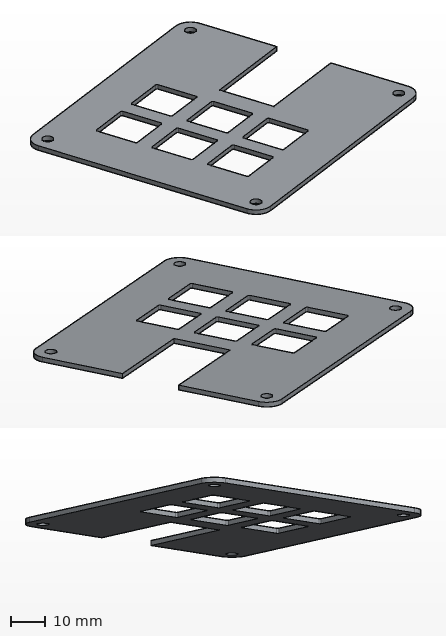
import cadquery as cq

plate_width = 81.25
plate_length = 87.5
plate_thickness = 1.5
corner_radius = 5.0

screw_hole_diameter = 3.4
screw_spacing_x = plate_width - 2 * corner_radius
screw_spacing_y = plate_length - 2 * corner_radius

notch_width = 18.5
notch_depth = 31.0

switch_size = 14.0
switch_corner_radius = 0.5
switch_pitch = 19.05
switch_columns = 3
switch_rows = 2
switch_grid_center_x = -0.5
switch_grid_center_y = -10.6


def make_plate():
    """Flat plate with rounded corners, resting on Z = 0."""
    plate = cq.Workplane("XY").rect(plate_width, plate_length).extrude(plate_thickness)
    return plate.edges("|Z").fillet(corner_radius)


def make_screw_holes():
    """Cylinders for the four corner screw holes."""
    return (
        cq.Workplane("XY")
        .rect(screw_spacing_x, screw_spacing_y, forConstruction=True)
        .vertices()
        .circle(screw_hole_diameter / 2)
        .extrude(plate_thickness)
    )


def make_notch():
    """Block that opens the middle of the +Y edge."""
    return (
        cq.Workplane("XY")
        .center(0, plate_length / 2 - notch_depth / 2)
        .rect(notch_width, notch_depth)
        .extrude(plate_thickness)
    )


def make_switch_openings():
    """Square prisms with slightly rounded corners, one for each key switch."""
    return (
        cq.Workplane("XY")
        .center(switch_grid_center_x, switch_grid_center_y)
        .rarray(switch_pitch, switch_pitch, switch_columns, switch_rows)
        .rect(switch_size, switch_size)
        .extrude(plate_thickness)
        .edges("|Z")
        .fillet(switch_corner_radius)
    )


result = make_plate().cut(make_screw_holes()).cut(make_notch()).cut(make_switch_openings())